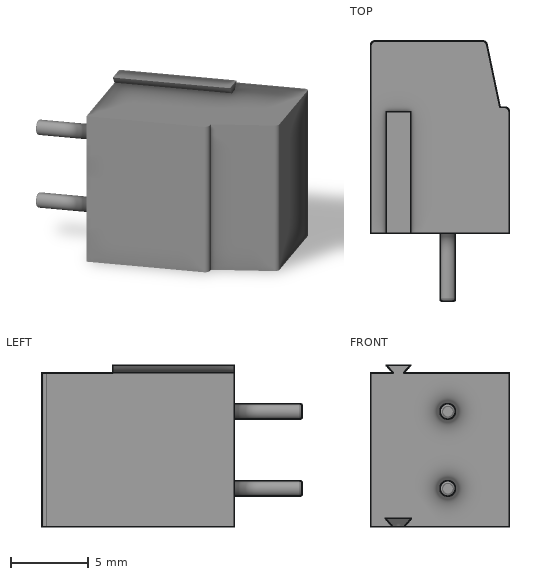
import cadquery as cq

BODY_WIDTH = 9.0
BODY_LENGTH = 12.5
BODY_HEIGHT = 10.0
HEAD_WIDTH = 7.5
SHOULDER_X = 8.4
SHOULDER_Y = 8.2
CORNER_RADIUS = 0.3

DOVETAIL_X = 1.8
DOVETAIL_LENGTH = 7.9
RAIL_NECK_WIDTH = 0.7
RAIL_CROWN_WIDTH = 1.6
RAIL_HEIGHT = 0.5
GROOVE_NECK_WIDTH = 0.7
GROOVE_CROWN_WIDTH = 1.7
GROOVE_DEPTH = 0.55

PIN_X = 5.0
PIN_PITCH = 5.0
PIN_DIAMETER = 1.0
PIN_LENGTH = 4.4
PIN_TIP_RADIUS = 0.15
PIN_HEIGHTS = [BODY_HEIGHT / 2 - PIN_PITCH / 2, BODY_HEIGHT / 2 + PIN_PITCH / 2]


def make_housing():
    """Stepped, sloped block with its three outer corners rounded."""
    rounded_corners = [
        (0, BODY_LENGTH),
        (HEAD_WIDTH, BODY_LENGTH),
        (BODY_WIDTH, SHOULDER_Y),
    ]
    outline = [
        (0, 0),
        *rounded_corners[:2],
        (SHOULDER_X, SHOULDER_Y),
        rounded_corners[2],
        (BODY_WIDTH, 0),
    ]
    housing = cq.Workplane("XY").polyline(outline).close().extrude(BODY_HEIGHT)
    for x, y in rounded_corners:
        corner_edge = cq.selectors.NearestToPointSelector((x, y, BODY_HEIGHT / 2))
        housing = housing.edges("|Z").edges(corner_edge).fillet(CORNER_RADIUS)
    return housing


def make_dovetail(base_z, height, neck_width, crown_width):
    """Trapezoidal bar that widens upward from base_z and runs back from Y = 0."""
    half_neck = neck_width / 2
    half_crown = crown_width / 2
    section = [
        (DOVETAIL_X - half_neck, base_z),
        (DOVETAIL_X + half_neck, base_z),
        (DOVETAIL_X + half_crown, base_z + height),
        (DOVETAIL_X - half_crown, base_z + height),
    ]
    return cq.Workplane("XZ").polyline(section).close().extrude(-DOVETAIL_LENGTH)


def make_pin(z):
    """Solder pin pointing toward -Y with a rounded tip edge."""
    pin = cq.Workplane("XZ").center(PIN_X, z).circle(PIN_DIAMETER / 2).extrude(PIN_LENGTH)
    return pin.faces("<Y").edges().fillet(PIN_TIP_RADIUS)


rail = make_dovetail(BODY_HEIGHT, RAIL_HEIGHT, RAIL_NECK_WIDTH, RAIL_CROWN_WIDTH)
groove = make_dovetail(0, GROOVE_DEPTH, GROOVE_NECK_WIDTH, GROOVE_CROWN_WIDTH)

result = make_housing().union(rail).cut(groove)
for pin_z in PIN_HEIGHTS:
    result = result.union(make_pin(pin_z))